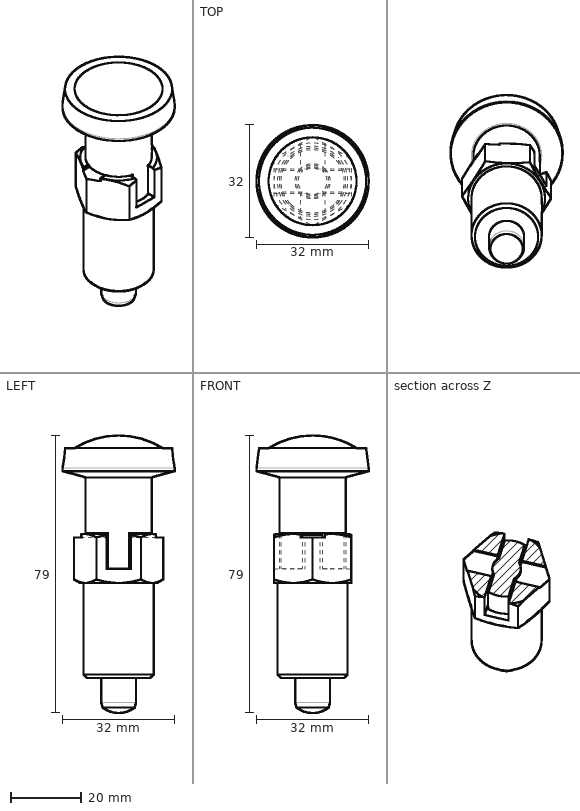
import cadquery as cq
import math

pin_radius = 5.0
pin_length = 10.0
pin_straight_length = 7.0
pin_dome_radius = 4.6
pin_dome_height = 1.6

body_radius = 10.0
body_length = 27.0
body_chamfer = 1.0

hex_sides = 6
hex_across_flats = 22.0
hex_height = 14.0
hex_face_diameter = 21.85
hex_chamfer_angle = 30.0
blank_clearance = 1.0

slot_width = 7.0
deep_slot_depth = 10.0
rest_notch_depth = 1.0

sleeve_radius = 18.9 / 2
sleeve_length = 16.0
sleeve_gap = 0.2
key_width = 6.0

stem_radius = 8.2 / 2
stem_tip_radius = 7.5 / 2
stem_shoulder_depth = 0.4

knob_radius = 16.0
knob_height = 12.0
knob_base_radius = 10.0
knob_base_height = 0.2
knob_rim_chamfer = 0.15
knob_cone_height = 1.75
knob_band_height = 0.9
knob_shoulder_height = 8.4
knob_top_radius = 15.25
knob_dome_radius = 12.5

hex_bottom = body_length
hex_top = hex_bottom + hex_height
slot_floor = hex_top - deep_slot_depth
knob_bottom = hex_top + sleeve_length
hex_across_corners = hex_across_flats / math.cos(math.radians(180 / hex_sides))


def cap_sphere_radius(base_radius, height):
    """Radius of the sphere whose cap has this base radius and height."""
    return (base_radius ** 2 + height ** 2) / (2 * height)


def cap_midpoint(base_radius, base_z, apex_z):
    """Point (r, z) on a spherical cap's profile, at half of its base radius."""
    height = abs(apex_z - base_z)
    sphere_radius = cap_sphere_radius(base_radius, height)
    r = base_radius / 2
    drop = sphere_radius - math.sqrt(sphere_radius ** 2 - r ** 2)
    return (r, apex_z - math.copysign(drop, apex_z - base_z))


def revolve_about_z(profile):
    """Close an (r, z) profile drawn on the XZ plane and turn it about Z."""
    return profile.close().revolve(360, (0, 0, 0), (0, 1, 0))


def make_pin_and_body():
    tip_z = -pin_length
    dome_z = tip_z + pin_dome_height
    profile = (
        cq.Workplane("XZ")
        .moveTo(0, tip_z)
        .threePointArc(cap_midpoint(pin_dome_radius, dome_z, tip_z), (pin_dome_radius, dome_z))
        .lineTo(pin_radius, -pin_straight_length)
        .lineTo(pin_radius, 0)
        .lineTo(body_radius - body_chamfer, 0)
        .lineTo(body_radius, body_chamfer)
        .lineTo(body_radius, hex_bottom)
        .lineTo(0, hex_bottom)
    )
    return revolve_about_z(profile)


def make_hex_collar():
    prism = (
        cq.Workplane("XY", origin=(0, 0, hex_bottom))
        .transformed(rotate=(0, 0, 90))
        .polygon(hex_sides, hex_across_corners)
        .extrude(hex_height)
    )
    face_radius = hex_face_diameter / 2
    blank_radius = hex_across_corners / 2 + blank_clearance
    cone_height = (blank_radius - face_radius) * math.tan(math.radians(hex_chamfer_angle))
    blank_profile = (
        cq.Workplane("XZ")
        .moveTo(0, hex_bottom)
        .lineTo(face_radius, hex_bottom)
        .lineTo(blank_radius, hex_bottom + cone_height)
        .lineTo(blank_radius, hex_top - cone_height)
        .lineTo(face_radius, hex_top)
        .lineTo(0, hex_top)
    )
    return prism.intersect(revolve_about_z(blank_profile))


def make_slot_cutter(length_x, length_y, depth):
    """Box through the collar's axis, sunk from its top face."""
    return cq.Workplane("XY", origin=(0, 0, hex_top - depth)).box(
        length_x, length_y, depth, centered=(True, True, False)
    )


def make_cylinder(radius, bottom, top):
    return cq.Workplane("XY", origin=(0, 0, bottom)).circle(radius).extrude(top - bottom)


def make_sleeve():
    """Round sleeve whose lower end narrows to a flat-sided key lying along X."""
    sleeve_bottom = hex_top + sleeve_gap
    key_bottom = slot_floor + sleeve_gap
    key_bar = cq.Workplane("XY", origin=(0, 0, key_bottom)).box(
        2 * sleeve_radius, key_width, sleeve_bottom - key_bottom, centered=(True, True, False)
    )
    key = make_cylinder(sleeve_radius, key_bottom, sleeve_bottom).intersect(key_bar)
    return make_cylinder(sleeve_radius, sleeve_bottom, knob_bottom).union(key)


def make_stem():
    stem_top = hex_top + sleeve_gap
    profile = (
        cq.Workplane("XZ")
        .moveTo(0, slot_floor)
        .lineTo(stem_radius, slot_floor)
        .lineTo(stem_radius, hex_top - stem_shoulder_depth)
        .lineTo(stem_tip_radius, stem_top)
        .lineTo(0, stem_top)
    )
    return revolve_about_z(profile)


def make_knob():
    band_bottom = knob_bottom + knob_cone_height
    band_top = band_bottom + knob_band_height
    shoulder = knob_bottom + knob_shoulder_height
    top = knob_bottom + knob_height
    profile = (
        cq.Workplane("XZ")
        .moveTo(0, knob_bottom)
        .lineTo(sleeve_radius, knob_bottom)
        .lineTo(knob_base_radius, knob_bottom + knob_base_height)
        .lineTo(knob_radius - knob_rim_chamfer, band_bottom)
        .lineTo(knob_radius, band_bottom + knob_rim_chamfer)
        .lineTo(knob_radius, band_top)
        .lineTo(knob_top_radius, shoulder)
        .lineTo(knob_dome_radius, shoulder)
        .threePointArc(cap_midpoint(knob_dome_radius, shoulder, top), (0, top))
    )
    return revolve_about_z(profile)


collar = make_hex_collar()
collar = collar.cut(make_slot_cutter(2 * hex_across_corners, slot_width, deep_slot_depth))
collar = collar.cut(make_slot_cutter(slot_width, 2 * hex_across_corners, rest_notch_depth))

result = (
    make_pin_and_body()
    .union(collar)
    .union(make_stem())
    .union(make_sleeve())
    .union(make_knob())
)